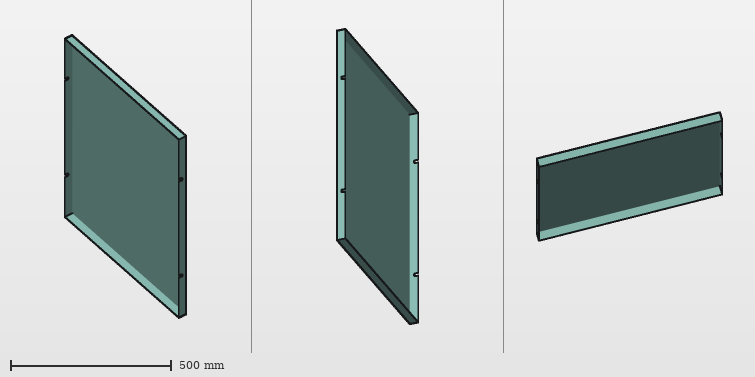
import cadquery as cq

width = 590.0
depth = 30.0
height = 742.5

sheet = 1.5
bend_outer_radius = 2.0
bend_inner_radius = bend_outer_radius - sheet

notch_width = 10.0
notch_depth = 14.0
notch_spacing = 400.0


def rounded_block(size_x, size_y, size_z, back_y, radius):
    """Block ending at back_y, with rounded edges around its back face."""
    block = cq.Workplane("XY").box(size_x, size_y, size_z)
    block = block.translate((0, back_y - size_y / 2, 0))
    return block.faces(">Y").edges().fillet(radius)


def make_tray():
    """Back panel with four walls, joined by rounded bends."""
    outer = rounded_block(width, depth, height, depth / 2, bend_outer_radius)
    inner = rounded_block(
        width - 2 * sheet,
        depth - sheet,
        height - 2 * sheet,
        depth / 2 - sheet,
        bend_inner_radius,
    )
    return outer.cut(inner)


def make_notch(center_z):
    """Notch cutter running through both side walls."""
    front_y = -depth / 2
    half_width = notch_width / 2
    arc_start_y = front_y + notch_depth - half_width
    return (
        cq.Workplane("YZ")
        .moveTo(front_y, center_z - half_width)
        .lineTo(arc_start_y, center_z - half_width)
        .threePointArc((front_y + notch_depth, center_z), (arc_start_y, center_z + half_width))
        .lineTo(front_y, center_z + half_width)
        .close()
        .extrude(width / 2, both=True)
    )


result = make_tray()
for side in (-1, 1):
    result = result.cut(make_notch(side * notch_spacing / 2))